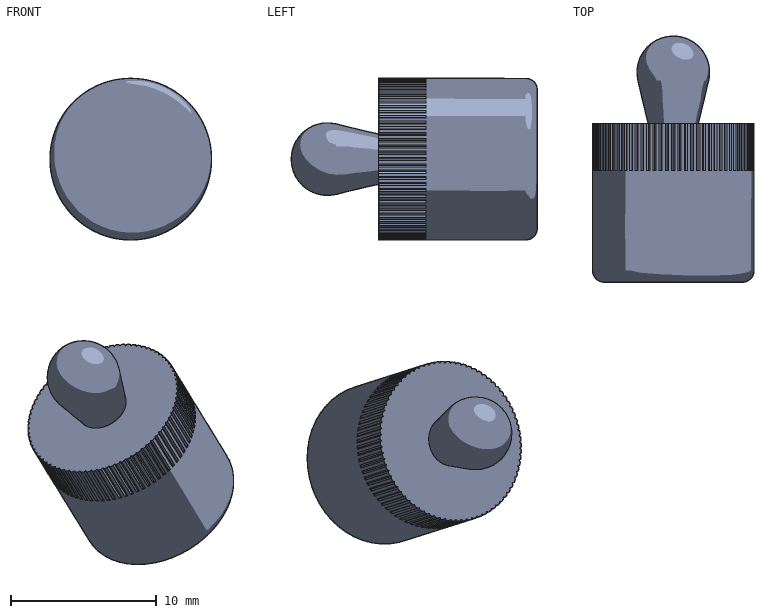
import cadquery as cq
import math

total_length = 16.9

housing_length = 10.9
housing_radius = 5.552
front_fillet_radius = 0.81

groove_count = 80
groove_depth = 0.11
groove_angle = 90.0
knurl_length = 3.25
cutter_overrun = 0.08

ball_radius = 2.5
cone_half_angle = math.radians(13.5)

front_y = 0.0
end_face_y = front_y + housing_length
ball_center_y = front_y + total_length - ball_radius


def make_knurl_cutters():
    """One triangular bar per groove, side by side around the pin end of the housing."""
    root_radius = housing_radius - groove_depth
    mouth_radius = housing_radius + cutter_overrun
    half_mouth = (mouth_radius - root_radius) * math.tan(math.radians(groove_angle / 2))
    bar = (
        cq.Workplane("XZ", origin=(0, end_face_y, 0))
        .polyline([(root_radius, 0), (mouth_radius, half_mouth), (mouth_radius, -half_mouth)])
        .close()
        .extrude(knurl_length)
        .val()
    )
    axis_start = cq.Vector(0, 0, 0)
    axis_end = cq.Vector(0, 1, 0)
    pitch_angle = 360.0 / groove_count
    bars = [bar.rotate(axis_start, axis_end, i * pitch_angle) for i in range(groove_count)]
    return cq.Compound.makeCompound(bars)


def make_housing():
    """Cylindrical housing with a rounded front edge and a knurled grip at the other end."""
    can = (
        cq.Workplane("XZ", origin=(0, end_face_y, 0))
        .circle(housing_radius)
        .extrude(housing_length)
        .faces("<Y")
        .edges()
        .fillet(front_fillet_radius)
    )
    return can.cut(cq.Workplane(obj=make_knurl_cutters()))


def make_pin():
    """Ball-headed pin, revolved about Y, whose cone stands on the housing end face."""
    tangent_radius = ball_radius * math.cos(cone_half_angle)
    tangent_y = ball_center_y - ball_radius * math.sin(cone_half_angle)
    base_radius = tangent_radius - (tangent_y - end_face_y) * math.tan(cone_half_angle)
    return (
        cq.Workplane("XY")
        .moveTo(0, end_face_y)
        .lineTo(base_radius, end_face_y)
        .lineTo(tangent_radius, tangent_y)
        .threePointArc((ball_radius, ball_center_y), (0, ball_center_y + ball_radius))
        .close()
        .revolve(360, (0, 0), (0, 1))
    )


housing = make_housing()
pin = make_pin()

result = cq.Compound.makeCompound([housing.solids().val(), pin.val()])